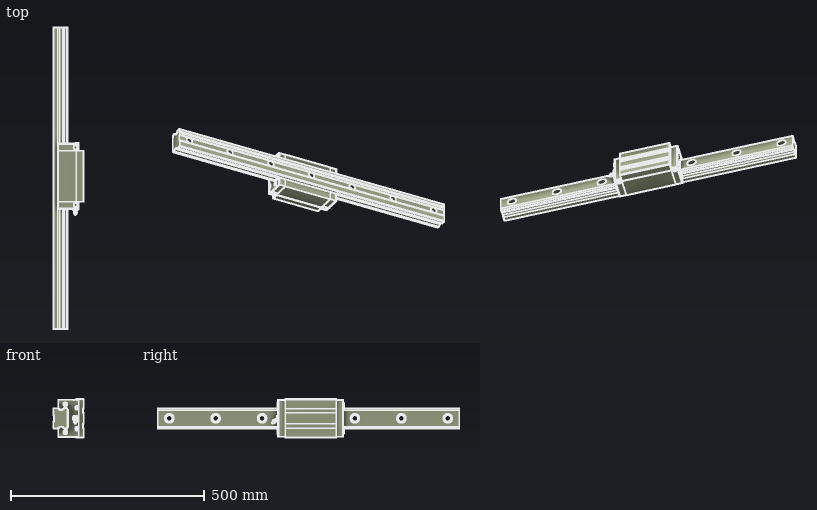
import cadquery as cq


ASSEMBLY_HEIGHT = 80.0
BASE_X = -ASSEMBLY_HEIGHT / 2
MOUNT_X = ASSEMBLY_HEIGHT / 2

RAIL_LENGTH = 780.0
RAIL_WIDTH = 53.0
RAIL_HEIGHT = 38.0
RAIL_HALF = RAIL_WIDTH / 2
RAIL_TOP_X = BASE_X + RAIL_HEIGHT
RAIL_BASE_CHAMFER = 1.5
WAIST_HALF = 21.8
FLANK_END_X = -27.5
WAIST_START_X = -22.5
WAIST_END_X = -15.5
HEAD_START_X = -10.5
HEAD_END_X = -4.7
HEAD_TOP_HALF = 21.3
RELIEF_HALF = 8.2
RELIEF_DEPTH = 2.0
MARK_GROOVE_Z = 16.3
MARK_GROOVE_HALF = 1.5
MARK_GROOVE_DEPTH = 1.2
BOLT_COUNT = 7
BOLT_PITCH = 120.0
BOLT_DIAMETER = 16.0
BOLT_HEAD_DIAMETER = 23.0
BOLT_HEAD_DEPTH = 20.0

CARRIAGE_Y = 5.5
BLOCK_LENGTH = 132.5
BLOCK_HALF_WIDTH = 50.0
BLOCK_SKIRT_HALF = 48.5
BLOCK_BOTTOM_X = BASE_X + 13.0
PAD_START_X = 19.5
PAD_CHAMFER = 1.5
PAD_GROOVE_Z = 19.5
PAD_GROOVE_WIDTH = 11.0
PAD_GROOVE_DEPTH = 2.0
RAIL_CLEARANCE = 0.5

CAP_LENGTH = 16.2
CAP_HALF_WIDTH = 48.0
CAP_TOP_X = 26.5
SIDE_PORT_X = 18.0
SIDE_PORT_DIAMETER = 10.0
SIDE_PORT_DEPTH = 8.0
SEAL_THICKNESS = 2.5
SCREW_HEAD_DIAMETER = 10.0
SCREW_HEAD_HEIGHT = 2.2
SCREW_SOCKET_WIDTH = 5.5
SCREW_SOCKET_DEPTH = 1.6
LOWER_SCREW_X = -8.2
LOWER_SCREW_Z = 36.3
UPPER_SCREW_X = 22.0
UPPER_SCREW_Z = 27.0

NIPPLE_X = 17.7
NIPPLE_FLANGE_DIAMETER = 14.0
NIPPLE_FLANGE_LENGTH = 3.0
NIPPLE_FLANGE_CHAMFER = 1.5
NIPPLE_ANGLE = 45.0
NIPPLE_NECK_DIAMETER = 4.2
NIPPLE_NECK_LENGTH = 8.4
NIPPLE_COLLAR_LENGTH = 1.5
NIPPLE_HEAD_DIAMETER = 8.7
NIPPLE_TIP_DIAMETER = 2.0
NIPPLE_HEAD_LENGTH = 1.5
NIPPLE_TIP_LENGTH = 7.2

CAP_START_Y = BLOCK_LENGTH / 2
SEAL_START_Y = CAP_START_Y + CAP_LENGTH
SEAL_END_Y = SEAL_START_Y + SEAL_THICKNESS


def y_workplane(y):
    """Workplane across the rail, with local x along X, local y along Z and its normal along -Y."""
    return cq.Workplane("XZ", origin=(0, y, 0))


def extrude_along_y(points, start_y, length):
    """Extrude an outline of (X, Z) points from start_y towards +Y."""
    return y_workplane(start_y).polyline(points).close().extrude(-length)


def mirrored(upper):
    """Complete an outline given for Z > 0 with its mirror image."""
    return upper + [(x, -z) for x, z in reversed(upper)]


def rail_side_points():
    """Upper side of the rail section, from the base flank to the top face."""
    return [
        (FLANK_END_X, RAIL_HALF),
        (WAIST_START_X, WAIST_HALF),
        (WAIST_END_X, WAIST_HALF),
        (HEAD_START_X, RAIL_HALF),
        (HEAD_END_X, RAIL_HALF),
        (RAIL_TOP_X, HEAD_TOP_HALF),
    ]


def rail_points():
    """Rail section without the reference groove."""
    base = [
        (BASE_X + RELIEF_DEPTH, RELIEF_HALF),
        (BASE_X, RELIEF_HALF),
        (BASE_X, RAIL_HALF - RAIL_BASE_CHAMFER),
        (BASE_X + RAIL_BASE_CHAMFER, RAIL_HALF),
    ]
    return mirrored(base + rail_side_points())


def make_rail():
    """Rail with the reference groove and counterbored bolt holes."""
    rail = extrude_along_y(rail_points(), -RAIL_LENGTH / 2, RAIL_LENGTH)
    mark = [
        (BASE_X, MARK_GROOVE_Z - MARK_GROOVE_HALF),
        (BASE_X + MARK_GROOVE_DEPTH, MARK_GROOVE_Z),
        (BASE_X, MARK_GROOVE_Z + MARK_GROOVE_HALF),
    ]
    rail = rail.cut(extrude_along_y(mark, -RAIL_LENGTH / 2, RAIL_LENGTH))
    for i in range(BOLT_COUNT):
        y = (i - (BOLT_COUNT - 1) / 2) * BOLT_PITCH
        rail_top = cq.Workplane("YZ", origin=(RAIL_TOP_X, y, 0))
        rail = rail.cut(rail_top.circle(BOLT_DIAMETER / 2).extrude(-RAIL_HEIGHT))
        rail = rail.cut(rail_top.circle(BOLT_HEAD_DIAMETER / 2).extrude(-BOLT_HEAD_DEPTH))
    return rail


def rail_channel(start_y, length):
    """Space for the rail, larger than the rail section by the running clearance."""
    outline = mirrored([(BASE_X, RAIL_HALF)] + rail_side_points())
    return (
        y_workplane(start_y)
        .polyline(outline)
        .close()
        .offset2D(RAIL_CLEARANCE, "intersection")
        .extrude(-length)
    )


def make_block():
    """Carriage block with two shallow grooves along its mounting face."""
    outline = mirrored([
        (BLOCK_BOTTOM_X, BLOCK_SKIRT_HALF),
        (PAD_START_X, BLOCK_SKIRT_HALF),
        (PAD_START_X, BLOCK_HALF_WIDTH),
        (MOUNT_X - PAD_CHAMFER, BLOCK_HALF_WIDTH),
        (MOUNT_X, BLOCK_HALF_WIDTH - PAD_CHAMFER),
    ])
    block = extrude_along_y(outline, -BLOCK_LENGTH / 2, BLOCK_LENGTH)
    for side in (-1, 1):
        groove = cq.Workplane("XY").box(2 * PAD_GROOVE_DEPTH, BLOCK_LENGTH, PAD_GROOVE_WIDTH)
        block = block.cut(groove.translate((MOUNT_X, 0, side * PAD_GROOVE_Z)))
    return block.cut(rail_channel(-BLOCK_LENGTH / 2, BLOCK_LENGTH))


def end_plate(start_y, length):
    """Plate with the end cap outline and the rail channel."""
    outline = mirrored([
        (BLOCK_BOTTOM_X, CAP_HALF_WIDTH),
        (CAP_TOP_X, CAP_HALF_WIDTH),
    ])
    return extrude_along_y(outline, start_y, length).cut(rail_channel(start_y, length))


def make_end_cap():
    """End cap for the +Y end, with a lubrication port in each side."""
    cap = end_plate(CAP_START_Y, CAP_LENGTH)
    port_y = CAP_START_Y + CAP_LENGTH / 2
    for side in (-1, 1):
        face = cq.Workplane("XY", origin=(SIDE_PORT_X, port_y, side * CAP_HALF_WIDTH))
        cap = cap.cut(face.circle(SIDE_PORT_DIAMETER / 2).extrude(-side * SIDE_PORT_DEPTH))
    return cap


def make_screw_head():
    """Domed screw head with a hexagon socket, standing on the XY plane."""
    dome_radius = ((SCREW_HEAD_DIAMETER / 2) ** 2 + SCREW_HEAD_HEIGHT ** 2) / (2 * SCREW_HEAD_HEIGHT)
    slab = cq.Workplane("XY").circle(SCREW_HEAD_DIAMETER).extrude(SCREW_HEAD_HEIGHT)
    ball = cq.Workplane("XY").sphere(dome_radius).translate((0, 0, SCREW_HEAD_HEIGHT - dome_radius))
    socket = (
        cq.Workplane("XY", origin=(0, 0, SCREW_HEAD_HEIGHT))
        .polygon(6, SCREW_SOCKET_WIDTH)
        .extrude(-SCREW_SOCKET_DEPTH)
    )
    return ball.intersect(slab).cut(socket)


def make_end_seal():
    """End seal for the +Y end, with its four screw heads."""
    seal = end_plate(SEAL_START_Y, SEAL_THICKNESS)
    screws = [
        (x, side * z)
        for x, z in ((LOWER_SCREW_X, LOWER_SCREW_Z), (UPPER_SCREW_X, UPPER_SCREW_Z))
        for side in (-1, 1)
    ]
    head = make_screw_head().rotate((0, 0, 0), (1, 0, 0), -90)
    for x, z in screws:
        seal = seal.union(head.translate((x, SEAL_END_Y, z)))
    return seal


def make_nipple():
    """Angled grease nipple on the -Y seal, pointing towards -Y and -Z."""
    flange = (
        cq.Workplane("XZ", origin=(NIPPLE_X, -SEAL_END_Y, 0))
        .circle(NIPPLE_FLANGE_DIAMETER / 2)
        .extrude(NIPPLE_FLANGE_LENGTH)
        .faces("<Y")
        .chamfer(NIPPLE_FLANGE_CHAMFER)
    )
    neck_end = NIPPLE_NECK_LENGTH
    head_start = neck_end + NIPPLE_COLLAR_LENGTH
    head_end = head_start + NIPPLE_HEAD_LENGTH
    tip_end = head_end + NIPPLE_TIP_LENGTH
    spout = (
        cq.Workplane("XY")
        .polyline([
            (0, 0),
            (NIPPLE_NECK_DIAMETER / 2, 0),
            (NIPPLE_NECK_DIAMETER / 2, neck_end),
            (NIPPLE_HEAD_DIAMETER / 2, head_start),
            (NIPPLE_HEAD_DIAMETER / 2, head_end),
            (NIPPLE_TIP_DIAMETER / 2, tip_end),
            (0, tip_end),
        ])
        .close()
        .revolve(360, (0, 0, 0), (0, 1, 0))
        .rotate((0, 0, 0), (1, 0, 0), 180 + NIPPLE_ANGLE)
        .translate((NIPPLE_X, -SEAL_END_Y - NIPPLE_FLANGE_LENGTH / 2, 0))
    )
    return flange.union(spout)


end_cap = make_end_cap()
end_seal = make_end_seal()
carriage = [make_block(), make_nipple()]
for part in (end_cap, end_seal):
    carriage.append(part)
    carriage.append(part.mirror("XZ"))

bodies = [make_rail()]
bodies += [part.translate((0, CARRIAGE_Y, 0)) for part in carriage]
result = cq.Compound.makeCompound([body.solids().val() for body in bodies])